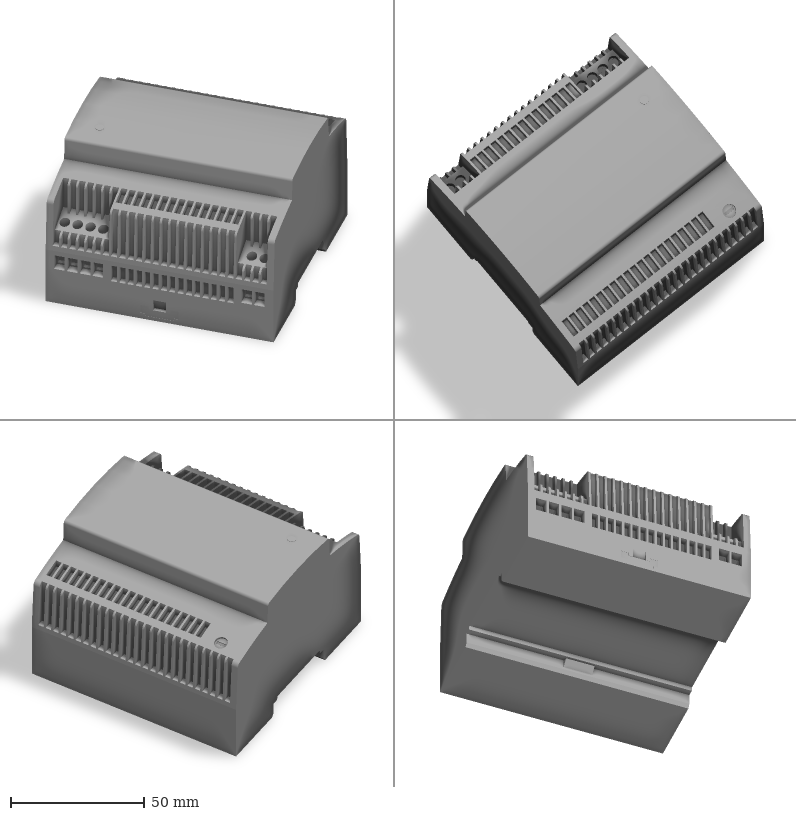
import cadquery as cq
import math

LENGTH = 90.0
HALF_DEPTH = 45.0
HEIGHT = 60.8
OVERCUT = 4.5

CROWN_RADIUS = 142.2
SHOULDER_APEX = 51.75
DRAFT_START = 23.4
SHOULDER_HALF = 43.65
HUMP_FOOT_HALF = 22.4
HUMP_TOP_HALF = 22.0
SHOULDER_FILLET = 2.2
HUMP_FILLET = 1.35

RAIL_HALF = 17.9
RAIL_DEPTH = 6.1
RAIL_CHAMFER_WIDTH = 1.1
RAIL_CHAMFER_HEIGHT = 1.5
CHANNEL_HALF = 15.5
CHANNEL_TOP_HALF = 15.1
CHANNEL_DEPTH = 7.7
TOOTH_ROOT_HALF = 22.5
TOOTH_TIP_HALF = 15.5
TOOTH_BOTTOM = 2.7
TOOTH_TIP_HEIGHT = 5.0
TOOTH_TOP = 5.5

SLOT_COUNT = 26
SLOT_SPAN = 82.1
SLOT_PITCH = SLOT_SPAN / (SLOT_COUNT - 1)
SLOT_WIDTH = 2.4
LEFT_POCKET_SLOTS = range(0, 7)
MIDDLE_SLOTS = range(7, 22)
RIGHT_POCKET_SLOTS = range(22, SLOT_COUNT)
REAR_TOP_SLOTS = range(5, SLOT_COUNT)
WALL_SLOT_INNER = 42.1
WALL_SLOT_BOTTOM = 25.6
LOWER_SLOT_BOTTOM = 14.4
LOWER_SLOT_TOP = 21.4
TOP_SLOT_INNER = 31.95
TOP_SLOT_OUTER = 39.1
TOP_SLOT_DEPTH = 3.1

POCKET_BACK = 34.3
POCKET_FLOOR = 34.8
POCKET_SLOPE = 0.37
FIN_FILLET = 1.8
LEFT_TERMINAL_START = -39.6
LEFT_TERMINAL_END = -24.4
LEFT_TERMINAL_COUNT = 4
TERMINAL_PITCH = (LEFT_TERMINAL_END - LEFT_TERMINAL_START) / (LEFT_TERMINAL_COUNT - 1)
RIGHT_TERMINAL_START = 34.3
RIGHT_TERMINAL_COUNT = 2
SCREW_Y = -38.25
SCREW_DIAMETER = 4.0
SCREW_DEPTH = 3.6
SCREW_SLOT_WIDTH = 0.6
SCREW_SLOT_DEPTH = 0.45

ENTRY_WIDTH = 4.2
ENTRY_BOTTOM = 15.3
ENTRY_TOP = 21.4
ENTRY_DEPTH = 3.6
FUNNEL_WIDTH = 3.5
FUNNEL_BOTTOM = 16.0
FUNNEL_END_WIDTH = 2.9
FUNNEL_END_BOTTOM = 16.8
FUNNEL_END_TOP = 20.25
FUNNEL_DEPTH = 0.5

LATCH_RECESS = 0.1
LATCH_BOTTOM = 1.5
LATCH_WING_BOTTOM = 2.5
LATCH_WING_TOP = 6.0
LATCH_NECK_TOP = 4.6
LATCH_FOOT_HALF = 5.8
LATCH_WING_HALF = 7.6
LATCH_NECK_HALF = 4.3
WINDOW_WIDTH = 5.1
WINDOW_TOP = 9.2
WINDOW_DEPTH = 1.7

ADJUSTER_X = -34.0
ADJUSTER_Y = 37.9
ADJUSTER_DIAMETER = 5.2
ADJUSTER_DEPTH = 0.9
ADJUSTER_SLOT_LENGTH = 4.05
ADJUSTER_SLOT_WIDTH = 1.2
ADJUSTER_SLOT_DEPTH = 0.4
LAMP_X = ADJUSTER_X
LAMP_Y = -12.9
LAMP_DIAMETER = 3.3
LAMP_RISE = 0.2


def crown_height(y, apex):
    """Height at y of an arc of CROWN_RADIUS that peaks at apex over Y = 0."""
    return apex - CROWN_RADIUS + math.sqrt(CROWN_RADIUS**2 - y**2)


def crown_tilt(y):
    """Slope angle in degrees of the crowned surface at distance y from its peak."""
    return math.degrees(math.asin(y / CROWN_RADIUS))


def shoulder_point(y):
    return (y, crown_height(y, SHOULDER_APEX))


def prism(points, x_center, width):
    """YZ polygon extruded along X, centred on x_center."""
    return (
        cq.Workplane("YZ").polyline(points).close()
        .extrude(width / 2, both=True).translate((x_center, 0, 0))
    )


def block(x_range, y_range, z_range):
    """Axis-aligned box given by its limits."""
    limits = (x_range, y_range, z_range)
    sizes = [high - low for low, high in limits]
    return cq.Workplane().box(*sizes, centered=False).translate([low for low, _ in limits])


def front_wall_y(z):
    """Y of the leaning front wall at height z above the draft start."""
    lean = (HALF_DEPTH - SHOULDER_HALF) / (crown_height(SHOULDER_HALF, SHOULDER_APEX) - DRAFT_START)
    return lean * (z - DRAFT_START) - HALF_DEPTH


def slot_x(index):
    return (index - (SLOT_COUNT - 1) / 2) * SLOT_PITCH


def slots(indices, points):
    """One prism of slot width at each grid position."""
    solids = [prism(points, slot_x(i), SLOT_WIDTH).val() for i in indices]
    return cq.Workplane().newObject([cq.Compound.makeCompound(solids)])


def pocket_floor(y):
    return POCKET_FLOOR + POCKET_SLOPE * (y + TOP_SLOT_INNER)


def edges_along_x(body, y, z, x_low, x_high):
    """Edges near the line (y, z) lying between two X limits."""
    reach = 0.3
    box = cq.selectors.BoxSelector(
        (x_low, y - reach, z - reach), (x_high, y + reach, z + reach)
    )
    return body.edges("|X").edges(box)


def housing():
    """Stepped, crowned outline extruded along X with rounded shoulder and hump edges."""
    shoulder_mid = (HUMP_FOOT_HALF + SHOULDER_HALF) / 2
    hump_edge = crown_height(HUMP_TOP_HALF, HEIGHT)
    outline = (
        cq.Workplane("YZ")
        .moveTo(-HALF_DEPTH, 0)
        .lineTo(-HALF_DEPTH, DRAFT_START)
        .lineTo(*shoulder_point(-SHOULDER_HALF))
        .threePointArc(shoulder_point(-shoulder_mid), shoulder_point(-HUMP_FOOT_HALF))
        .lineTo(-HUMP_TOP_HALF, hump_edge)
        .threePointArc((0, HEIGHT), (HUMP_TOP_HALF, hump_edge))
        .lineTo(*shoulder_point(HUMP_FOOT_HALF))
        .threePointArc(shoulder_point(shoulder_mid), shoulder_point(SHOULDER_HALF))
        .lineTo(HALF_DEPTH, DRAFT_START)
        .lineTo(HALF_DEPTH, 0)
        .close()
    )
    body = outline.extrude(LENGTH / 2, both=True)
    rounded_edges = (
        (SHOULDER_HALF, SHOULDER_APEX, SHOULDER_FILLET),
        (HUMP_TOP_HALF, HEIGHT, HUMP_FILLET),
    )
    for half, apex, radius in rounded_edges:
        for y in (-half, half):
            z = crown_height(half, apex)
            body = edges_along_x(body, y, z, -LENGTH, LENGTH).fillet(radius)
    return body


def rail_channel():
    """Stepped channel for the mounting rail, right through along X."""
    right_half = [
        (RAIL_HALF + RAIL_CHAMFER_WIDTH, 0),
        (RAIL_HALF, RAIL_CHAMFER_HEIGHT),
        (RAIL_HALF, RAIL_DEPTH),
        (CHANNEL_HALF, RAIL_DEPTH),
        (CHANNEL_TOP_HALF, CHANNEL_DEPTH),
    ]
    left_half = [(-y, z) for y, z in reversed(right_half)]
    return prism(right_half + left_half, 0, LENGTH)


def latch_tooth(side):
    """Catch that hooks the rail; side is +1 or -1 along Y."""
    points = [
        (side * TOOTH_ROOT_HALF, TOOTH_BOTTOM),
        (side * RAIL_HALF, TOOTH_BOTTOM),
        (side * TOOTH_TIP_HALF, TOOTH_TIP_HEIGHT),
        (side * RAIL_HALF, TOOTH_TOP),
        (side * TOOTH_ROOT_HALF, TOOTH_TOP),
    ]
    return prism(points, 0, 2 * LATCH_FOOT_HALF)


def cut_pocket(body, indices):
    """Open terminal pocket with a sloping floor, rounded edges and a finned back wall."""
    x_low = slot_x(indices[0]) - SLOT_WIDTH / 2
    x_high = slot_x(indices[-1]) + SLOT_WIDTH / 2
    margin = SLOT_WIDTH / 2
    front = -HALF_DEPTH - OVERCUT
    profile = [
        (-POCKET_BACK, HEIGHT),
        (-POCKET_BACK, pocket_floor(-POCKET_BACK)),
        (front, pocket_floor(front)),
        (front, HEIGHT),
    ]
    body = body.cut(prism(profile, (x_low + x_high) / 2, x_high - x_low))

    back_edge_z = crown_height(POCKET_BACK, SHOULDER_APEX)
    back_edge = edges_along_x(body, -POCKET_BACK, back_edge_z, x_low - margin, x_high + margin)
    body = back_edge.fillet(FIN_FILLET)
    lip_y = front_wall_y(pocket_floor(-HALF_DEPTH))
    floor_lip = edges_along_x(body, lip_y, pocket_floor(lip_y), x_low - margin, x_high + margin)
    body = floor_lip.fillet(FIN_FILLET)

    back_slot = [
        (-TOP_SLOT_INNER, HEIGHT),
        (-TOP_SLOT_INNER, pocket_floor(-TOP_SLOT_INNER)),
        (-POCKET_BACK, pocket_floor(-POCKET_BACK)),
        (-POCKET_BACK - FIN_FILLET, pocket_floor(-POCKET_BACK - FIN_FILLET)),
        (-POCKET_BACK - FIN_FILLET, HEIGHT),
    ]
    return body.cut(slots(indices, back_slot))


def wall_slots(side):
    """Slots down the upper end wall, open at the shoulder; side is +1 or -1 along Y."""
    inner = side * WALL_SLOT_INNER
    outer = side * (HALF_DEPTH + OVERCUT)
    points = [(inner, WALL_SLOT_BOTTOM), (outer, WALL_SLOT_BOTTOM), (outer, HEIGHT), (inner, HEIGHT)]
    return slots(range(SLOT_COUNT), points)


def lower_front_slots():
    """Closed slots in the vertical front wall."""
    inner = -WALL_SLOT_INNER
    outer = -HALF_DEPTH - OVERCUT
    points = [
        (inner, LOWER_SLOT_BOTTOM),
        (outer, LOWER_SLOT_BOTTOM),
        (outer, LOWER_SLOT_TOP),
        (inner, LOWER_SLOT_TOP),
    ]
    return slots(MIDDLE_SLOTS, points)


def front_top_slots():
    """Vertical-sided slots in the front shoulder, floor parallel to the shoulder."""
    inner_y, inner_z = shoulder_point(-TOP_SLOT_INNER)
    outer_y, outer_z = shoulder_point(-TOP_SLOT_OUTER)
    points = [
        (inner_y, HEIGHT),
        (inner_y, inner_z - TOP_SLOT_DEPTH),
        (outer_y, outer_z - TOP_SLOT_DEPTH),
        (outer_y, HEIGHT),
    ]
    return slots(MIDDLE_SLOTS, points)


def rear_top_slots():
    """Slots in the rear shoulder; the outer end leans square to the surface."""
    inner_y, inner_z = shoulder_point(TOP_SLOT_INNER)
    outer_y, outer_z = shoulder_point(TOP_SLOT_OUTER)
    lean = math.tan(math.radians(crown_tilt(TOP_SLOT_OUTER)))
    points = [
        (inner_y, HEIGHT),
        (inner_y, inner_z - TOP_SLOT_DEPTH),
        (outer_y - lean * TOP_SLOT_DEPTH, outer_z - TOP_SLOT_DEPTH),
        (outer_y, outer_z),
        (outer_y, HEIGHT),
    ]
    return slots(REAR_TOP_SLOTS, points)


def terminal_positions():
    left = [LEFT_TERMINAL_START + i * TERMINAL_PITCH for i in range(LEFT_TERMINAL_COUNT)]
    right = [RIGHT_TERMINAL_START + i * TERMINAL_PITCH for i in range(RIGHT_TERMINAL_COUNT)]
    return left + right


def terminal_screw(x):
    """Screw well in the pocket floor with a diagonal driver slot in its bottom."""
    bottom = pocket_floor(SCREW_Y) - SCREW_DEPTH
    well = cq.Workplane().circle(SCREW_DIAMETER / 2).extrude(SCREW_DEPTH + OVERCUT)
    driver_slot = (
        cq.Workplane().box(SCREW_DIAMETER, SCREW_SLOT_WIDTH, 2 * SCREW_SLOT_DEPTH)
        .rotate((0, 0, 0), (0, 0, 1), 45)
    )
    return well.union(driver_slot).translate((x, SCREW_Y, bottom))


def wire_entry(x):
    """Square-sided mouth followed by a funnel that narrows inward."""
    half = ENTRY_WIDTH / 2
    ledge = -HALF_DEPTH + ENTRY_DEPTH
    mouth = block((x - half, x + half), (-HALF_DEPTH, ledge), (ENTRY_BOTTOM, ENTRY_TOP))
    end_shift = (FUNNEL_END_BOTTOM + FUNNEL_END_TOP - FUNNEL_BOTTOM - ENTRY_TOP) / 2
    funnel = (
        cq.Workplane("XZ", origin=(x, ledge, (FUNNEL_BOTTOM + ENTRY_TOP) / 2))
        .rect(FUNNEL_WIDTH, ENTRY_TOP - FUNNEL_BOTTOM)
        .workplane(offset=-FUNNEL_DEPTH).center(0, end_shift)
        .rect(FUNNEL_END_WIDTH, FUNNEL_END_TOP - FUNNEL_END_BOTTOM)
        .loft(ruled=True)
    )
    return mouth.union(funnel)


def latch_front():
    """Shallow recess with the outline of the latch plate."""
    right_half = [
        (LATCH_FOOT_HALF, LATCH_BOTTOM),
        (LATCH_FOOT_HALF, LATCH_WING_BOTTOM),
        (LATCH_WING_HALF, LATCH_WING_BOTTOM),
        (LATCH_WING_HALF, LATCH_WING_TOP),
        (LATCH_NECK_HALF, LATCH_WING_TOP),
        (LATCH_NECK_HALF, LATCH_NECK_TOP),
    ]
    left_half = [(-x, z) for x, z in reversed(right_half)]
    return (
        cq.Workplane("XZ", origin=(0, -HALF_DEPTH, 0))
        .polyline(right_half + left_half).close().extrude(-LATCH_RECESS)
    )


def latch_window():
    """Tool opening above the latch with a flat sill and a roof sloping down inward."""
    points = [
        (-HALF_DEPTH, LATCH_NECK_TOP),
        (-HALF_DEPTH, WINDOW_TOP),
        (-HALF_DEPTH + WINDOW_DEPTH, LATCH_NECK_TOP),
    ]
    return prism(points, 0, WINDOW_WIDTH)


def adjuster():
    """Round recess with a driver slot, square to the rear shoulder."""
    well = (
        cq.Workplane().circle(ADJUSTER_DIAMETER / 2).extrude(OVERCUT)
        .translate((0, 0, -ADJUSTER_DEPTH))
    )
    driver_slot = (
        cq.Workplane().box(ADJUSTER_SLOT_LENGTH, ADJUSTER_SLOT_WIDTH, 2 * ADJUSTER_SLOT_DEPTH)
        .translate((0, 0, -ADJUSTER_DEPTH))
    )
    y, z = shoulder_point(ADJUSTER_Y)
    return (
        well.union(driver_slot)
        .rotate((0, 0, 0), (1, 0, 0), -crown_tilt(ADJUSTER_Y))
        .translate((ADJUSTER_X, y, z))
    )


def lamp():
    """Low round lens standing slightly proud of the hump."""
    return (
        cq.Workplane().circle(LAMP_DIAMETER / 2).extrude(LAMP_RISE + OVERCUT)
        .translate((0, 0, -OVERCUT))
        .rotate((0, 0, 0), (1, 0, 0), -crown_tilt(LAMP_Y))
        .translate((LAMP_X, LAMP_Y, crown_height(LAMP_Y, HEIGHT)))
    )


body = housing().cut(rail_channel())
for pocket_indices in (LEFT_POCKET_SLOTS, RIGHT_POCKET_SLOTS):
    body = cut_pocket(body, pocket_indices)
for end in (-1, 1):
    body = body.cut(wall_slots(end))
    body = body.union(latch_tooth(end))
for cutter in (lower_front_slots(), front_top_slots(), rear_top_slots()):
    body = body.cut(cutter)
for terminal_x in terminal_positions():
    body = body.cut(terminal_screw(terminal_x))
    body = body.cut(wire_entry(terminal_x))
body = body.cut(latch_front()).cut(latch_window()).cut(adjuster())
result = body.union(lamp())